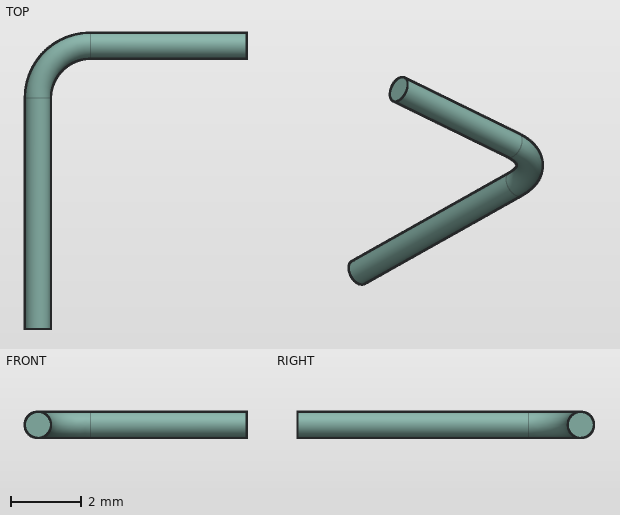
import cadquery as cq
import math

length_x = 6.34
length_y = 8.47
wire_diameter = 0.75
bend_radius = 1.5

wire_radius = wire_diameter / 2

leg_x = length_x - wire_radius
leg_y = length_y - wire_radius
bend_middle = bend_radius * (1 - math.sqrt(0.5))

centreline = (
    cq.Workplane("XY")
    .lineTo(0, leg_y - bend_radius)
    .threePointArc((bend_middle, leg_y - bend_middle), (bend_radius, leg_y))
    .lineTo(leg_x, leg_y)
)

result = cq.Workplane("XZ").circle(wire_radius).sweep(centreline)